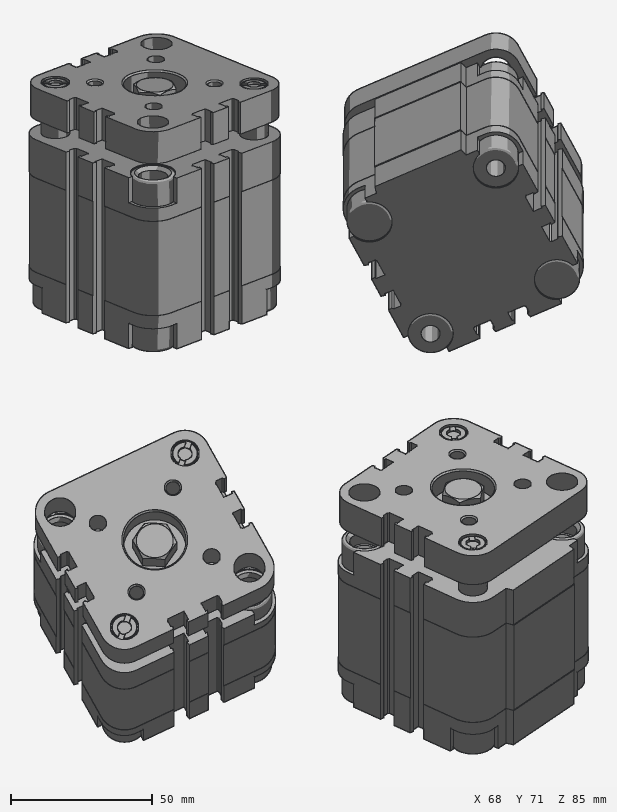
import cadquery as cq
import math

total_height = 85.0
housing_height = 65.5
end_cap_height = 14.7
plate_bottom = 72.8
plate_thickness = total_height - plate_bottom

cap_half_width = 34.0
barrel_half_width = 33.9
plate_half_width = 33.5
corner_centre = 24.7

barrel_rail_top_y = 37.0
cap_rail_top_y = 36.6
rail_base_half_width = 17.6
rail_top_half_width = 16.8

slot_offset = 6.8
slot_mouth_width = 6.1
slot_opening = 5.4
slot_cavity_width = 6.8
slot_lip_y = 32.5
slot_floor_y = 29.1
slot_corner_chamfer = 0.5

boss_diameter = 16.0
boss_fillet = 1.0
boss_relief_start = 22.0
lower_relief_height = 9.7
upper_relief_height = 9.6
screw_hole_diameter = 6.6
screw_hole_mouth = 8.6
screw_recess_diameter = 10.4
screw_recess_mouth = 13.0
screw_recess_depth = 5.8

rod_diameter = 16.0
rod_flats = 13.0
rod_collar_height = 1.2
head_across_flats = 13.6
head_top_diameter = 13.0
head_chamfer_angle = 30.0
head_recess_diameter = 22.0
head_recess_depth = 7.65
head_recess_mouth = 23.2
head_top_gap = 0.8

guide_rod_diameter = 10.2
guide_collar_diameter = 11.0
guide_collar_height = 0.3
guide_recess_diameter = 10.0
guide_recess_depth = 1.0
guide_end_diameter = 9.0
guide_end_top_diameter = 8.6
guide_end_gap = 0.3
guide_bore_diameter = 4.9
guide_bore_depth = 1.0
guide_slot_width = 2.0
guide_slot_depth = 0.7

access_hole_diameter = 11.0
inner_hole_offset = 14.9
plain_hole_diameter = 6.0
threaded_hole_diameter = 4.9
threaded_hole_mouth = 6.0

guide_corners = [(-corner_centre, -corner_centre), (corner_centre, corner_centre)]
screw_corners = [(-corner_centre, corner_centre), (corner_centre, -corner_centre)]


def cylinder(diameter, bottom, height, centres=((0, 0),)):
    """Upright cylinders of one size at the given XY centres."""
    return cq.Workplane("XY").workplane(offset=bottom).pushPoints(centres).circle(diameter / 2).extrude(height)


def conical_mouth(mouth_diameter, hole_diameter, top, centre=(0, 0)):
    """Cone that gives a hole a 45 degree chamfer at the given height."""
    depth = (mouth_diameter - hole_diameter) / 2
    cone = cq.Solid.makeCone(hole_diameter / 2, mouth_diameter / 2, depth)
    return cq.Workplane(cone.translate(cq.Vector(*centre, top - depth)))


def rounded_block(half_width, bottom, height):
    """Square block whose corner rounds all share the corner centres."""
    block = cq.Workplane("XY").workplane(offset=bottom).rect(2 * half_width, 2 * half_width).extrude(height)
    return block.edges("|Z").fillet(half_width - corner_centre)


def side_slots():
    """Pairs of undercut slots running the full height of the -X, -Y and +X sides."""
    inner_x = slot_offset - slot_cavity_width / 2
    outer_x = slot_offset + slot_cavity_width / 2
    opening_inner_x = slot_offset - slot_opening / 2
    opening_outer_x = slot_offset + slot_opening / 2
    mouth_inner_x = slot_offset - slot_mouth_width / 2
    mouth_outer_x = slot_offset + slot_mouth_width / 2
    slot = (
        cq.Workplane("XY")
        .moveTo(mouth_inner_x, -cap_half_width)
        .lineTo(opening_inner_x, -slot_lip_y)
        .lineTo(inner_x, -slot_lip_y)
        .lineTo(inner_x, -slot_floor_y)
        .lineTo(outer_x - slot_corner_chamfer, -slot_floor_y)
        .lineTo(outer_x, -slot_floor_y - slot_corner_chamfer)
        .lineTo(outer_x, -slot_lip_y + slot_corner_chamfer)
        .lineTo(outer_x - slot_corner_chamfer, -slot_lip_y)
        .lineTo(opening_outer_x, -slot_lip_y)
        .lineTo(mouth_outer_x, -cap_half_width)
        .close()
        .extrude(total_height)
    )
    pair = slot.union(slot.mirror("YZ"))
    slots = pair
    for angle in (-90, 90):
        slots = slots.union(pair.rotate((0, 0, 0), (0, 0, 1), angle))
    return slots


def housing_section(half_width, rail_top_y, bottom, height):
    """One length of the housing with its rail."""
    rail = (
        cq.Workplane("XY")
        .workplane(offset=bottom)
        .moveTo(-rail_base_half_width, 0)
        .lineTo(-rail_base_half_width, half_width)
        .lineTo(-rail_top_half_width, rail_top_y)
        .lineTo(rail_top_half_width, rail_top_y)
        .lineTo(rail_base_half_width, half_width)
        .lineTo(rail_base_half_width, 0)
        .close()
        .extrude(height)
    )
    return rounded_block(half_width, bottom, height).union(rail)


def corner_relief(centre, bottom, height, rounded_end):
    """Material taken off a corner to leave a round boss whose end edge is rounded all the way around."""
    relief_size = cap_half_width - boss_relief_start
    middle = boss_relief_start + relief_size / 2
    block = (
        cq.Workplane("XY")
        .workplane(offset=bottom)
        .center(math.copysign(middle, centre[0]), math.copysign(middle, centre[1]))
        .rect(relief_size, relief_size)
        .extrude(height)
    )
    boss = cylinder(boss_diameter, bottom, height, [centre]).faces(rounded_end).edges().fillet(boss_fillet)
    return block.union(cylinder(boss_diameter, bottom, height, [centre])).cut(boss)


def make_housing():
    upper_cap_bottom = housing_height - end_cap_height
    barrel_length = upper_cap_bottom - end_cap_height
    housing = housing_section(barrel_half_width, barrel_rail_top_y, end_cap_height, barrel_length)
    for bottom in (0, upper_cap_bottom):
        housing = housing.union(housing_section(cap_half_width, cap_rail_top_y, bottom, end_cap_height))
    housing = housing.cut(side_slots())

    for centre in guide_corners + screw_corners:
        housing = housing.cut(corner_relief(centre, 0, lower_relief_height, "<Z"))
    for centre in screw_corners:
        relief_bottom = housing_height - upper_relief_height
        housing = housing.cut(corner_relief(centre, relief_bottom, upper_relief_height, ">Z"))

    recess_bottom = housing_height - screw_recess_depth
    housing = housing.cut(cylinder(screw_hole_diameter, 0, housing_height, screw_corners))
    housing = housing.cut(cylinder(screw_recess_diameter, recess_bottom, screw_recess_depth, screw_corners))
    for centre in screw_corners:
        housing = housing.cut(conical_mouth(screw_hole_mouth, screw_hole_diameter, recess_bottom, centre))
        housing = housing.cut(conical_mouth(screw_recess_mouth, screw_recess_diameter, housing_height, centre))
    return housing


def make_plate():
    """Front plate with its slots, holes and central recess."""
    plate = rounded_block(plate_half_width, plate_bottom, plate_thickness).cut(side_slots())
    plate = plate.cut(cylinder(access_hole_diameter, plate_bottom, plate_thickness, screw_corners))

    plain_centres = [(-inner_hole_offset, inner_hole_offset), (inner_hole_offset, -inner_hole_offset)]
    plate = plate.cut(cylinder(plain_hole_diameter, plate_bottom, plate_thickness, plain_centres))

    for offset in (-inner_hole_offset, inner_hole_offset):
        centre = (offset, offset)
        plate = plate.cut(cylinder(threaded_hole_diameter, plate_bottom, plate_thickness, [centre]))
        plate = plate.cut(conical_mouth(threaded_hole_mouth, threaded_hole_diameter, total_height, centre))

    recess_bottom = total_height - head_recess_depth
    plate = plate.cut(cylinder(head_recess_diameter, recess_bottom, head_recess_depth))
    return plate.cut(conical_mouth(head_recess_mouth, head_recess_diameter, total_height))


def make_piston_rod():
    """Round rod with two wrench flats facing -Y and +Y above a short round collar."""
    length = plate_bottom - housing_height
    collar = cylinder(rod_diameter, housing_height, rod_collar_height)
    flats = (
        cq.Workplane("XY")
        .workplane(offset=housing_height)
        .rect(rod_diameter, rod_flats)
        .extrude(length)
    )
    return cylinder(rod_diameter, housing_height, length).intersect(flats).union(collar)


def make_hexagonal_head():
    """Hexagon with corners on the Y axis, its top corners turned off to a cone."""
    bottom = total_height - head_recess_depth
    height = head_recess_depth - head_top_gap
    across_corners = head_across_flats / math.cos(math.pi / 6)
    head = (
        cq.Workplane("XY")
        .workplane(offset=bottom)
        .transformed(rotate=(0, 0, 90))
        .polygon(6, across_corners)
        .extrude(height)
    )
    cone_run = (across_corners - head_top_diameter) / 2
    cone_drop = cone_run * math.tan(math.radians(head_chamfer_angle))
    turned = cylinder(across_corners, bottom, height).faces(">Z").chamfer(cone_drop, cone_run)
    return head.intersect(turned)


def make_guide_rod(centre):
    """Guide rod below the plate with a thin collar where it enters the plate."""
    rod = cylinder(guide_rod_diameter, housing_height, plate_bottom - housing_height, [centre])
    collar_bottom = plate_bottom - guide_collar_height
    return rod.union(cylinder(guide_collar_diameter, collar_bottom, guide_collar_height, [centre]))


def cut_guide_end(body, centre):
    """Recess in the plate around the slotted, bored end of a guide rod."""
    end_top = total_height - guide_end_gap
    recess_bottom = total_height - guide_recess_depth
    recess = cylinder(guide_recess_diameter, recess_bottom, guide_recess_depth, [centre])
    end = cylinder(guide_end_diameter, recess_bottom, end_top - recess_bottom, [centre])
    end = end.faces(">Z").chamfer((guide_end_diameter - guide_end_top_diameter) / 2)
    bore = cylinder(guide_bore_diameter, end_top - guide_bore_depth, guide_bore_depth, [centre])
    slot = (
        cq.Workplane("XY")
        .workplane(offset=end_top - guide_slot_depth)
        .center(*centre)
        .transformed(rotate=(0, 0, 45))
        .rect(guide_recess_diameter, guide_slot_width)
        .extrude(guide_slot_depth)
        .intersect(cylinder(guide_recess_diameter, 0, total_height, [centre]))
    )
    return body.cut(recess.cut(end)).cut(bore).cut(slot)


def make_carriage():
    """Front plate, piston rod and guide rods, which travel together."""
    carriage = make_plate().union(make_piston_rod()).union(make_hexagonal_head())
    for centre in guide_corners:
        carriage = carriage.union(make_guide_rod(centre))
        carriage = cut_guide_end(carriage, centre)
    return carriage


housing = make_housing()
carriage = make_carriage()
result = cq.Compound.makeCompound([housing.val(), carriage.val()])